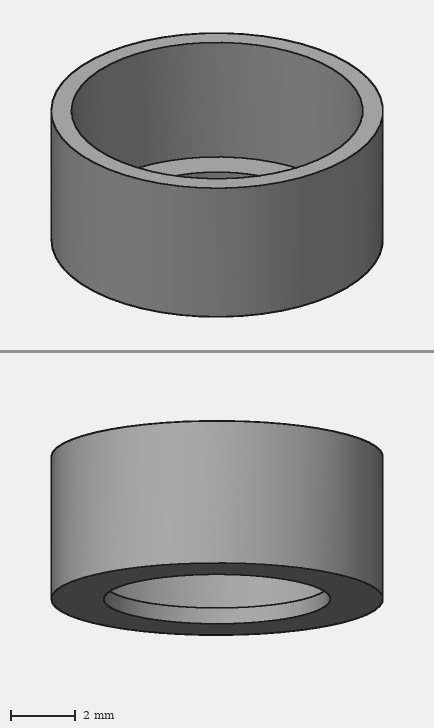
import cadquery as cq

outer_diameter = 10.25
height = 4.5
recess_diameter = 9.0
bore_diameter = 7.0
floor_thickness = 0.5

recess_depth = height - floor_thickness


def cylinder(diameter, length, base_z=0):
    """Upright cylinder on the Z axis, standing on base_z."""
    return cq.Workplane("XY").workplane(offset=base_z).circle(diameter / 2).extrude(length)


body = cylinder(outer_diameter, height)
recess = cylinder(recess_diameter, recess_depth, floor_thickness)
bore = cylinder(bore_diameter, height)

result = body.cut(recess).cut(bore)